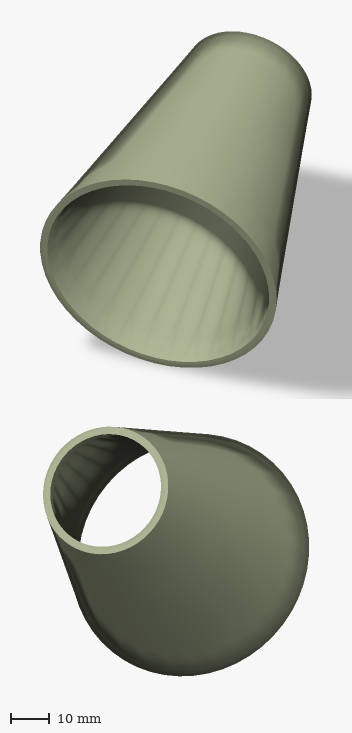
import cadquery as cq

length = 76.0
large_diameter = 64.0
small_diameter = 33.7
wall = 2.0

large_radius = large_diameter / 2
small_radius = small_diameter / 2

wall_section = (
    cq.Workplane("XY")
    .moveTo(large_radius - wall, 0)
    .lineTo(large_radius, 0)
    .lineTo(small_radius, length)
    .lineTo(small_radius - wall, length)
    .close()
)

result = wall_section.revolve(360, (0, 0, 0), (0, 1, 0))